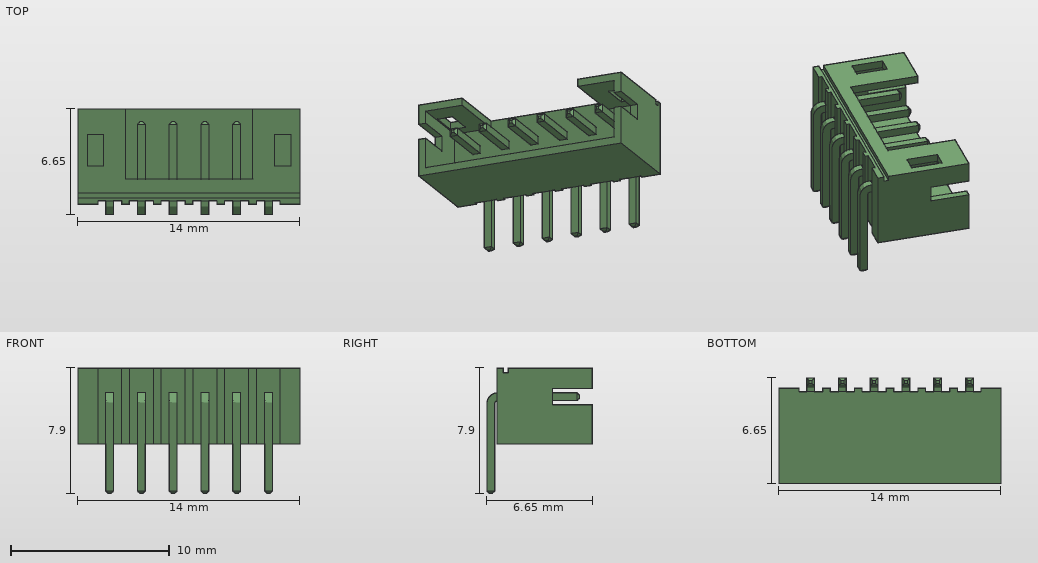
import cadquery as cq


overall_depth = 6.65
overall_height = 7.9

length = 14.0
depth = 6.0
height = 4.79
wall = 0.49
cavity_depth = 4.42
back_wall = depth - cavity_depth

cutout_width = 8.0
window_width = 1.02
window_depth = 2.0
window_end_gap = 0.59
window_mouth_gap = 1.6
side_slot_height = 1.01
side_slot_depth = 2.5

groove_width = 0.3
groove_depth = 0.3
groove_front_gap = 0.4
channel_depth = 0.21
end_land = 1.27
rib_width = 0.49

pin_count = 6
pin_pitch = 2.0
pin_size = 0.5
pin_below_roof = 1.8
pin_z = height - pin_below_roof
tip_gap = 0.8
tail_drop = overall_height - height
front_reach = overall_depth - depth
outer_bend = 0.7
mating_chamfer = 0.17
tail_chamfer = 0.15

row_length = (pin_count - 1) * pin_pitch
pin_positions = [i * pin_pitch - row_length / 2 for i in range(pin_count)]


def block(x_min, x_max, y_min, y_max, z_min, z_max):
    """Box given by its limits along each axis."""
    size = (x_max - x_min, y_max - y_min, z_max - z_min)
    return cq.Workplane("XY").box(*size, centered=False).translate((x_min, y_min, z_min))


def make_shell():
    """Outer block hollowed from the +Y mating face."""
    half = length / 2
    outer = block(-half, half, 0, depth, 0, height)
    cavity = block(-half + wall, half - wall, back_wall, depth, wall, height - wall)
    return outer.cut(cavity)


def cut_openings(body):
    """Roof cutout, two roof windows and the slot through both side walls."""
    half = length / 2
    cutout = block(-cutout_width / 2, cutout_width / 2, back_wall, depth, height - wall, height)
    body = body.cut(cutout)

    window_x = half - window_end_gap - window_width / 2
    window_top = depth - window_mouth_gap
    for x in (-window_x, window_x):
        window = block(
            x - window_width / 2, x + window_width / 2,
            window_top - window_depth, window_top,
            height - wall, height,
        )
        body = body.cut(window)

    side_slot = block(
        -half, half,
        depth - side_slot_depth, depth,
        pin_z - side_slot_height / 2, pin_z + side_slot_height / 2,
    )
    return body.cut(side_slot)


def cut_groove(body):
    """Full-length groove across the roof near the pin-exit face."""
    half = length / 2
    groove_end = groove_front_gap + groove_width
    return body.cut(block(-half, half, groove_front_gap, groove_end, height - groove_depth, height))


def cut_channels(body):
    """Recess the pin-exit face between the end lands, leaving a rib between neighbouring pins."""
    recess_half = length / 2 - end_land
    recess = block(-recess_half, recess_half, 0, channel_depth, 0, height)
    for x in pin_positions[:-1]:
        rib_x = x + pin_pitch / 2
        recess = recess.cut(block(rib_x - rib_width / 2, rib_x + rib_width / 2, 0, channel_depth, 0, height))
    return body.cut(recess)


def cut_pin_holes(body):
    """Square holes through the back wall, one for each pin."""
    half = pin_size / 2
    for x in pin_positions:
        body = body.cut(block(x - half, x + half, 0, back_wall, pin_z - half, pin_z + half))
    return body


def make_housing():
    body = make_shell()
    body = cut_openings(body)
    body = cut_groove(body)
    body = cut_channels(body)
    return cut_pin_holes(body)


def make_pin(x):
    """Square pin that runs along Y, bends down outside the housing and ends in a tail."""
    half = pin_size / 2
    tip_y = depth - tip_gap
    top = pin_z + half
    bottom = pin_z - half
    front = -front_reach
    back = front + pin_size
    inner_bend = outer_bend - pin_size
    bend_y = front + outer_bend
    bend_z = top - outer_bend
    pin = (
        cq.Workplane("YZ")
        .moveTo(tip_y, top)
        .lineTo(bend_y, top)
        .radiusArc((front, bend_z), -outer_bend)
        .lineTo(front, -tail_drop)
        .lineTo(back, -tail_drop)
        .lineTo(back, bend_z)
        .radiusArc((bend_y, bottom), inner_bend)
        .lineTo(tip_y, bottom)
        .close()
        .extrude(half, both=True)
    )
    pin = pin.faces(">Y").chamfer(mating_chamfer)
    pin = pin.faces("<Z").chamfer(tail_chamfer)
    return pin.translate((x, 0, 0))


housing = make_housing()
pins = [make_pin(x) for x in pin_positions]

result = cq.Compound.makeCompound([housing.val(), *[pin.val() for pin in pins]])